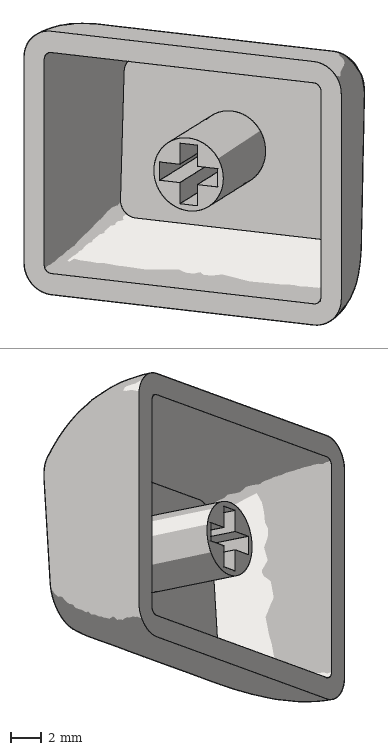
import cadquery as cq
import math


rim_width = 22.85
rim_height = 18.1
rim_radius = 2.0
depth = 10.01
taper = 2.7
top_radius = 2.75
top_tilt = 4.0

rim_wall = 1.46
top_wall = 1.49
opening_radius = rim_radius - rim_wall
cavity_taper = 2.15
floor_radius = 1.12

stem_diameter = 5.0
stem_recess = 1.0
cross_span = 4.15
cross_arm = 1.25

tilt_rise = (rim_height / 2 - taper) * math.tan(math.radians(top_tilt))
top_distance = depth - tilt_rise
floor_distance = top_distance - top_wall


def section(fraction, width, height, inset, start_radius, end_radius, distance):
    """Rounded rectangle part-way back; its inset and radius grow with the square of the fraction."""
    growth = fraction ** 2
    tilt = top_tilt * fraction
    section_width = width - 2 * inset * growth
    section_height = (height - 2 * inset * growth) / math.cos(math.radians(tilt))
    radius = start_radius + (end_radius - start_radius) * growth
    outline = cq.Sketch().rect(section_width, section_height).vertices().fillet(radius)
    plane = cq.Plane(origin=(0, distance * fraction, 0), xDir=(1, 0, 0), normal=(0, -1, 0))
    return outline.reset().moved(plane.rotated((-tilt, 0, 0)).location)


def tapered_form(*sizes):
    """Smooth loft from an upright section at the rim to a tilted one at the far end."""
    sections = [section(fraction, *sizes) for fraction in (0, 0.5, 1)]
    return cq.Workplane().placeSketch(*sections).loft()


def make_outer_form():
    return tapered_form(rim_width, rim_height, taper, rim_radius, top_radius, top_distance)


def make_cavity():
    opening_width = rim_width - 2 * rim_wall
    opening_height = rim_height - 2 * rim_wall
    return tapered_form(
        opening_width, opening_height, cavity_taper, opening_radius, floor_radius, floor_distance
    )


def make_stem(cavity):
    """Round post ending on the cavity floor, with a cross socket through its full length."""
    front = cq.Workplane("XZ", origin=(0, stem_recess, 0))
    post = front.circle(stem_diameter / 2).extrude(-depth).intersect(cavity)
    across = front.rect(cross_span, cross_arm).extrude(-depth)
    upright = front.rect(cross_arm, cross_span).extrude(-depth)
    return post.cut(across.union(upright))


cavity = make_cavity()
shell = make_outer_form().cut(cavity)
stem = make_stem(cavity)

result = cq.Compound.makeCompound([shell.val(), stem.val()])